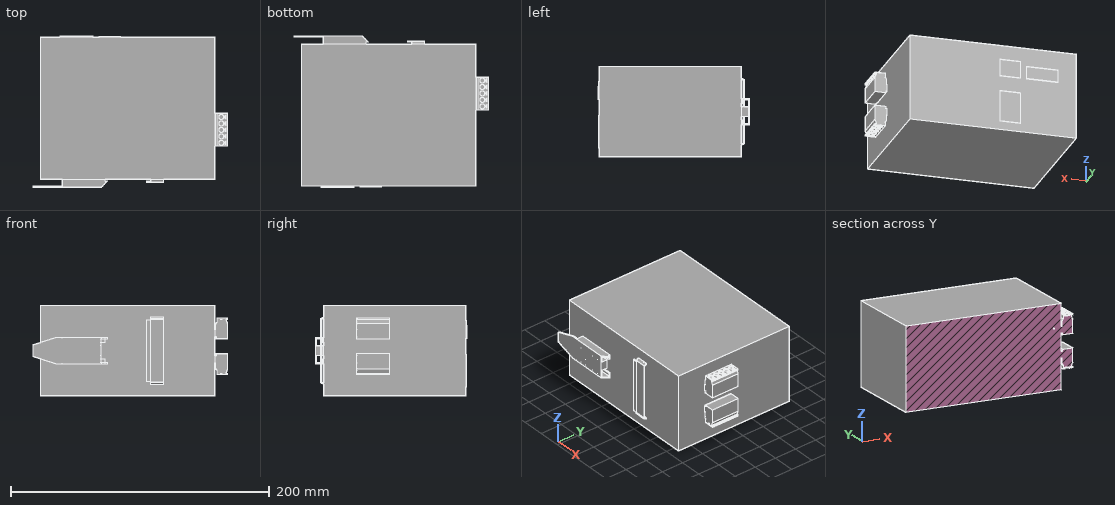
import cadquery as cq

BODY_LENGTH = 135.0
BODY_DEPTH = 110.0
BODY_HEIGHT = 70.0

CLIP_REACH = 6.35
CLIP_SHEET = 1.0
CLIP_HALF_WIDTH = 10.15
CLIP_TIP_X = -5.9
CLIP_TIP_HALF_WIDTH = 4.5
CLIP_SHOULDER_X = 12.0
CLIP_PLATE_END_X = 46.8
CLIP_WALL_START_X = 16.8
CLIP_WALL_ROOT_X = 50.1
CLIP_HOOK_X = 51.8
CLIP_HOOK_REACH = 1.4
CLIP_BEVEL_START_X = 47.2
FOOT_WIDTH = 2.75
FOOT_THICKNESS = 1.0
CLIP_CORE_WIDTH = 7.75

BRACKET_START_X = 85.4
BRACKET_END_X = 95.4
BRACKET_REACH = 2.45
BRACKET_SHEET = 0.5
BRACKET_LEG_WIDTH = 1.2
BRACKET_FOOT_HALF = 26.0
BRACKET_CREST_HALF = 24.8
TONGUE_START_X = 82.2
TONGUE_HALF = 23.75
TONGUE_THICKNESS = 1.0

PLUG_POLES = 5
PLUG_PITCH = 5.0
PLUG_START_Y = 25.85
PLUG_LENGTH = 25.25
PLUG_FIRST_POLE_Y = 28.2
PLUG_END_PLATE = 0.25
PLUG_END_PLATE_INSET = 0.2
PLUG_PAIR_MIDDLE_Z = 3.4
PLUG_REACH = 10.0
PLUG_BASE_Z = 9.1
PLUG_TOP_Z = 25.3
PLUG_LEDGE_X = 1.0
PLUG_LEDGE_Z = 10.6
PLUG_SEAT_Z = 16.2
PLUG_RELIEF_X = 0.5
PLUG_RELIEF_Z = 20.5
PLUG_BACK_X = 1.6
PLUG_BACK_Z = 22.2
PLUG_BEVEL_Z = 20.9
PLUG_NOTCH_X = 8.7
PLUG_NOTCH_Z = 24.3
SCREW_X = 5.0
SCREW_DIAMETER = 3.9
SCREW_DEPTH = 1.0
SLOT_X = 8.25
SLOT_WIDTH = 1.0
SLOT_LENGTH = 2.4
SLOT_DEPTH = 0.5

THICK_PAD = 1.0
THIN_PAD = 0.5
THICK_PAD_X = (15.15, 40.7)
THICK_PAD_Z = (9.6, 19.6)
THIN_PAD_X = (45.4, 62.1)
UPPER_THIN_PAD_Z = (9.6, 23.3)
LOWER_THIN_PAD_Z = (-28.0, -2.8)


def block(x_range, y_range, z_range):
    """Axis-aligned block between the given limits."""
    return (
        cq.Workplane("XY")
        .box(
            x_range[1] - x_range[0],
            y_range[1] - y_range[0],
            z_range[1] - z_range[0],
            centered=False,
        )
        .translate((x_range[0], y_range[0], z_range[0]))
    )


def make_housing():
    half = BODY_HEIGHT / 2
    return block((0, BODY_LENGTH), (0, BODY_DEPTH), (-half, half))


def make_clip_plate():
    """Flat sheet with a tapered pull tab, parallel to the front face."""
    outline = [
        (CLIP_TIP_X, CLIP_TIP_HALF_WIDTH),
        (CLIP_SHOULDER_X, CLIP_HALF_WIDTH),
        (CLIP_PLATE_END_X, CLIP_HALF_WIDTH),
        (CLIP_PLATE_END_X, -CLIP_HALF_WIDTH),
        (CLIP_SHOULDER_X, -CLIP_HALF_WIDTH),
        (CLIP_TIP_X, -CLIP_TIP_HALF_WIDTH),
    ]
    return (
        cq.Workplane("XZ", origin=(0, CLIP_SHEET - CLIP_REACH, 0))
        .polyline(outline)
        .close()
        .extrude(CLIP_SHEET)
    )


def make_clip_side():
    """Upper side wall of the clip with its hooked end and inward foot."""
    outline = [
        (CLIP_WALL_START_X, 0),
        (CLIP_WALL_ROOT_X, 0),
        (CLIP_WALL_ROOT_X, -CLIP_HOOK_REACH),
        (CLIP_HOOK_X, -CLIP_HOOK_REACH),
        (CLIP_BEVEL_START_X, -CLIP_REACH),
        (CLIP_WALL_START_X, -CLIP_REACH),
    ]
    wall_inside = CLIP_HALF_WIDTH - CLIP_SHEET
    wall = (
        cq.Workplane("XY", origin=(0, 0, wall_inside))
        .polyline(outline)
        .close()
        .extrude(CLIP_SHEET)
    )
    foot = block(
        (CLIP_WALL_START_X, CLIP_WALL_ROOT_X),
        (-FOOT_THICKNESS, 0),
        (wall_inside - FOOT_WIDTH, wall_inside),
    )
    return wall.union(foot)


def make_clip():
    side = make_clip_side()
    core = block(
        (CLIP_WALL_START_X, CLIP_PLATE_END_X),
        (-CLIP_REACH, 0),
        (-CLIP_CORE_WIDTH / 2, CLIP_CORE_WIDTH / 2),
    )
    return make_clip_plate().union(side).union(side.mirror("XY")).union(core)


def make_bracket():
    """Sheet bridge with sloped legs and a narrower tongue on its left edge."""
    inner_reach = BRACKET_REACH - BRACKET_SHEET
    inner_foot_half = BRACKET_FOOT_HALF - BRACKET_LEG_WIDTH
    inner_crest_half = BRACKET_CREST_HALF - BRACKET_SHEET
    outline = [
        (0, BRACKET_FOOT_HALF),
        (-BRACKET_REACH, BRACKET_CREST_HALF),
        (-BRACKET_REACH, -BRACKET_CREST_HALF),
        (0, -BRACKET_FOOT_HALF),
        (0, -inner_foot_half),
        (-inner_reach, -inner_crest_half),
        (-inner_reach, inner_crest_half),
        (0, inner_foot_half),
    ]
    bridge = (
        cq.Workplane("YZ", origin=(BRACKET_START_X, 0, 0))
        .polyline(outline)
        .close()
        .extrude(BRACKET_END_X - BRACKET_START_X)
    )
    tongue = block(
        (TONGUE_START_X, BRACKET_START_X),
        (-BRACKET_REACH, TONGUE_THICKNESS - BRACKET_REACH),
        (-TONGUE_HALF, TONGUE_HALF),
    )
    return bridge.union(tongue)


def plug_profile(start_y, width):
    """Plug cross-section swept along Y from start_y."""
    outline = [
        (PLUG_LEDGE_X, PLUG_BASE_Z),
        (PLUG_REACH, PLUG_BASE_Z),
        (PLUG_REACH, PLUG_BEVEL_Z),
        (PLUG_NOTCH_X, PLUG_NOTCH_Z),
        (PLUG_REACH, PLUG_NOTCH_Z),
        (PLUG_REACH, PLUG_TOP_Z),
        (PLUG_BACK_X, PLUG_TOP_Z),
        (PLUG_BACK_X, PLUG_BACK_Z),
        (PLUG_RELIEF_X, PLUG_RELIEF_Z),
        (PLUG_RELIEF_X, PLUG_SEAT_Z),
        (0, PLUG_SEAT_Z),
        (0, PLUG_LEDGE_Z),
        (PLUG_LEDGE_X, PLUG_LEDGE_Z),
    ]
    return (
        cq.Workplane("XZ", origin=(BODY_LENGTH, start_y + width, 0))
        .polyline(outline)
        .close()
        .extrude(width)
    )


def make_plug():
    """Upper terminal plug with screw recesses and test slots along its top."""
    plug = plug_profile(PLUG_START_Y, PLUG_LENGTH)
    end_plate_y = PLUG_START_Y - PLUG_END_PLATE
    end_plate_limits = block(
        (BODY_LENGTH, BODY_LENGTH + PLUG_REACH),
        (end_plate_y, PLUG_START_Y),
        (PLUG_BASE_Z, PLUG_TOP_Z - PLUG_END_PLATE_INSET),
    )
    end_plate = plug_profile(end_plate_y, PLUG_END_PLATE).intersect(end_plate_limits)
    plug = plug.union(end_plate)
    pole_centres = [PLUG_FIRST_POLE_Y + pole * PLUG_PITCH for pole in range(PLUG_POLES)]
    top = cq.Workplane("XY", origin=(BODY_LENGTH, 0, PLUG_TOP_Z))
    screws = (
        top.pushPoints([(SCREW_X, y) for y in pole_centres])
        .circle(SCREW_DIAMETER / 2)
        .extrude(-SCREW_DEPTH)
    )
    slots = (
        top.pushPoints([(SLOT_X, y) for y in pole_centres])
        .rect(SLOT_WIDTH, SLOT_LENGTH)
        .extrude(-SLOT_DEPTH)
    )
    return plug.cut(screws).cut(slots)


def back_pad(x_range, z_range, thickness):
    return block(x_range, (BODY_DEPTH, BODY_DEPTH + thickness), z_range)


upper_plug = make_plug()
result = (
    make_housing()
    .union(make_clip())
    .union(make_bracket())
    .union(upper_plug)
    .union(upper_plug.mirror("XY", (0, 0, PLUG_PAIR_MIDDLE_Z)))
    .union(back_pad(THICK_PAD_X, THICK_PAD_Z, THICK_PAD))
    .union(back_pad(THIN_PAD_X, UPPER_THIN_PAD_Z, THIN_PAD))
    .union(back_pad(THIN_PAD_X, LOWER_THIN_PAD_Z, THIN_PAD))
)